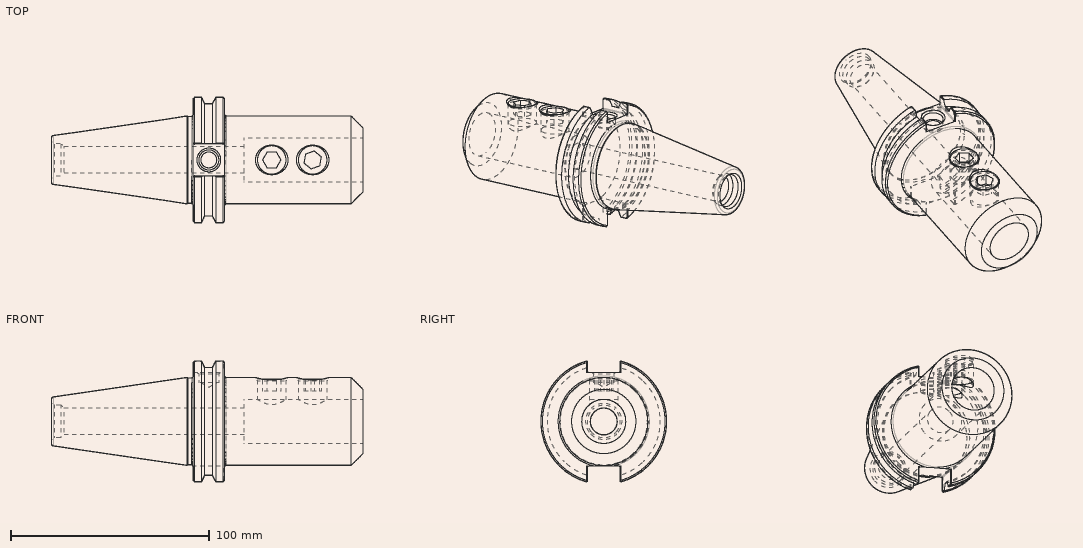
import cadquery as cq
import math

TOTAL_LENGTH = 157.15

GAUGE_DIAMETER = 44.45
TAPER_LENGTH = 68.25
TAPER_RATIO = 7 / 24
TAIL_FILLET = 1.2
NECK_LENGTH = 3.18
NECK_DIAMETER = 43.94
NECK_STEP_LENGTH = 0.5

FLANGE_DIAMETER = 63.5
FLANGE_WIDTH = 15.88
FLANGE_START = TAPER_LENGTH + NECK_LENGTH
FLANGE_END = FLANGE_START + FLANGE_WIDTH
FLANGE_MIDDLE = (FLANGE_START + FLANGE_END) / 2
FLANGE_CHAMFER = 0.8
FLANGE_ROOT_FILLET = 0.8
GROOVE_FLOOR_DIAMETER = 56.9
GROOVE_FLOOR_START = FLANGE_START + 5.8
GROOVE_FLOOR_WIDTH = 3.9
GROOVE_FLOOR_END = GROOVE_FLOOR_START + GROOVE_FLOOR_WIDTH
GROOVE_START = GROOVE_FLOOR_START - 1.55
GROOVE_END = GROOVE_FLOOR_END + 1.8

NOSE_DIAMETER = 44.45
NOSE_CHAMFER = 6.0

TAIL_BORE_DIAMETER = 16.46
TAIL_BORE_DEPTH = 4.9
TAIL_BORE_CHAMFER = 0.9
TAIL_BORE_CHAMFER_LENGTH = 1.6
THROUGH_BORE_DIAMETER = 13.39
TOOL_BORE_DIAMETER = 22.23
TOOL_BORE_DEPTH = 60.0

SLOT_WIDTH = 16.38
TOP_SLOT_FLOOR = 24.8
BOTTOM_SLOT_FLOOR = 22.5
SLOT_EDGE_CHAMFER = 0.41
SLOT_CORNER_FILLET = 0.4

SLOT_HOLE_DIAMETER = 10.13
SLOT_HOLE_MOUTH_DIAMETER = 12.0
SLOT_HOLE_DEPTH = 5.2
SLOT_HOLE_TIP_DIAMETER = 8.0
DRILL_POINT_ANGLE = 118

SCREW_DIAMETER = 14.35
SCREW_POSITIONS = (TOTAL_LENGTH - 46.04, TOTAL_LENGTH - 25.4)
SCREW_TURNS = (0, 20)
SCREW_TOP = 21.4
SCREW_MOUTH_DIAMETER = 16.46
SCREW_MOUTH_ANGLE = 60
HEX_ACROSS_FLATS = 8.0
HEX_DEPTH = 6.0


def cone_length(radius_change, full_angle):
    """Axial length over which a cone of the given full angle changes its radius."""
    return radius_change / math.tan(math.radians(full_angle / 2))


def revolve_about_x(profile):
    return profile.close().revolve(360, (0, 0, 0), (1, 0, 0))


def revolve_about_z(profile):
    return profile.close().revolve(360, (0, 0, 0), (0, 1, 0))


def make_blank():
    """Taper, neck, grooved flange and nose as one turned body."""
    gauge_radius = GAUGE_DIAMETER / 2
    tail_radius = gauge_radius - TAPER_LENGTH * TAPER_RATIO / 2
    neck_radius = NECK_DIAMETER / 2
    flange_radius = FLANGE_DIAMETER / 2
    floor_radius = GROOVE_FLOOR_DIAMETER / 2
    nose_radius = NOSE_DIAMETER / 2
    profile = (
        cq.Workplane("XZ")
        .moveTo(0, 0)
        .lineTo(0, tail_radius)
        .lineTo(TAPER_LENGTH, gauge_radius)
        .lineTo(TAPER_LENGTH + NECK_STEP_LENGTH, neck_radius)
        .lineTo(FLANGE_START - FLANGE_ROOT_FILLET, neck_radius)
        .radiusArc((FLANGE_START, neck_radius + FLANGE_ROOT_FILLET), -FLANGE_ROOT_FILLET)
        .lineTo(FLANGE_START, flange_radius - FLANGE_CHAMFER)
        .lineTo(FLANGE_START + FLANGE_CHAMFER, flange_radius)
        .lineTo(GROOVE_START, flange_radius)
        .lineTo(GROOVE_FLOOR_START, floor_radius)
        .lineTo(GROOVE_FLOOR_END, floor_radius)
        .lineTo(GROOVE_END, flange_radius)
        .lineTo(FLANGE_END - FLANGE_CHAMFER, flange_radius)
        .lineTo(FLANGE_END, flange_radius - FLANGE_CHAMFER)
        .lineTo(FLANGE_END, nose_radius + FLANGE_ROOT_FILLET)
        .radiusArc((FLANGE_END + FLANGE_ROOT_FILLET, nose_radius), -FLANGE_ROOT_FILLET)
        .lineTo(TOTAL_LENGTH - NOSE_CHAMFER, nose_radius)
        .lineTo(TOTAL_LENGTH, nose_radius - NOSE_CHAMFER)
        .lineTo(TOTAL_LENGTH, 0)
    )
    return revolve_about_x(profile).faces("<X").edges().fillet(TAIL_FILLET)


def make_axial_bores():
    """Chamfered tail bore, through bore and tool bore as one cutting body."""
    through_radius = THROUGH_BORE_DIAMETER / 2
    tail_radius = TAIL_BORE_DIAMETER / 2
    tool_radius = TOOL_BORE_DIAMETER / 2
    tool_bore_start = TOTAL_LENGTH - TOOL_BORE_DEPTH
    profile = (
        cq.Workplane("XZ")
        .moveTo(0, 0)
        .lineTo(0, tail_radius + TAIL_BORE_CHAMFER)
        .lineTo(TAIL_BORE_CHAMFER_LENGTH, tail_radius)
        .lineTo(TAIL_BORE_DEPTH, tail_radius)
        .lineTo(TAIL_BORE_DEPTH + tail_radius - through_radius, through_radius)
        .lineTo(tool_bore_start, through_radius)
        .lineTo(tool_bore_start, tool_radius)
        .lineTo(TOTAL_LENGTH, tool_radius)
        .lineTo(TOTAL_LENGTH, 0)
    )
    return revolve_about_x(profile)


def make_slot(floor, side):
    """Cutting body of a drive slot; it also clears the fillets at the flange root."""
    length = FLANGE_WIDTH + 2 * FLANGE_ROOT_FILLET
    height = FLANGE_DIAMETER
    block = cq.Workplane("XY").box(length, SLOT_WIDTH, height)
    return block.translate((FLANGE_MIDDLE, 0, side * (floor + height / 2)))


def is_floor_corner(edge):
    """True for a slot wall edge that runs along a slot floor."""
    height = edge.Center().z
    return min(abs(height - TOP_SLOT_FLOOR), abs(height + BOTTOM_SLOT_FLOOR)) < SLOT_EDGE_CHAMFER / 2


def is_in_groove(edge):
    """True for a slot wall edge that follows the V-groove."""
    return GROOVE_START < edge.Center().x < GROOVE_END


def break_slot_edges(holder):
    """Chamfers the slot walls outside the groove, then fillets the corners along the floors."""
    wall_edges = holder.faces("|Y").edges().vals()
    outer_edges = [edge for edge in wall_edges if not is_floor_corner(edge) and not is_in_groove(edge)]
    holder = holder.newObject(outer_edges).chamfer(SLOT_EDGE_CHAMFER)
    corners = [edge for edge in holder.faces("|Y").edges("|X").vals() if is_floor_corner(edge)]
    return holder.newObject(corners).fillet(SLOT_CORNER_FILLET)


def make_slot_hole():
    """Countersunk blind hole with a drill point."""
    mouth_radius = SLOT_HOLE_MOUTH_DIAMETER / 2
    hole_radius = SLOT_HOLE_DIAMETER / 2
    tip_radius = SLOT_HOLE_TIP_DIAMETER / 2
    bottom = TOP_SLOT_FLOOR - SLOT_HOLE_DEPTH
    profile = (
        cq.Workplane("XZ", origin=(FLANGE_MIDDLE, 0, 0))
        .moveTo(0, TOP_SLOT_FLOOR)
        .lineTo(mouth_radius, TOP_SLOT_FLOOR)
        .lineTo(hole_radius, TOP_SLOT_FLOOR - (mouth_radius - hole_radius))
        .lineTo(hole_radius, bottom)
        .lineTo(tip_radius, bottom)
        .lineTo(0, bottom - cone_length(tip_radius, DRILL_POINT_ANGLE))
    )
    return revolve_about_z(profile)


def make_screw_hole(position):
    """Countersunk hole from the nose surface down to the tool bore."""
    screw_radius = SCREW_DIAMETER / 2
    mouth_radius = SCREW_MOUTH_DIAMETER / 2
    mouth_top = NOSE_DIAMETER / 2
    mouth_bottom = mouth_top - cone_length(mouth_radius - screw_radius, SCREW_MOUTH_ANGLE)
    profile = (
        cq.Workplane("XZ", origin=(position, 0, 0))
        .moveTo(0, 0)
        .lineTo(screw_radius, 0)
        .lineTo(screw_radius, mouth_bottom)
        .lineTo(mouth_radius, mouth_top)
        .lineTo(0, mouth_top)
    )
    return revolve_about_z(profile)


def make_holder():
    holder = make_blank().cut(make_axial_bores())
    holder = holder.cut(make_slot(TOP_SLOT_FLOOR, 1))
    holder = holder.cut(make_slot(BOTTOM_SLOT_FLOOR, -1))
    holder = break_slot_edges(holder)
    holder = holder.cut(make_slot_hole())
    for position in SCREW_POSITIONS:
        holder = holder.cut(make_screw_hole(position))
    return holder


def make_set_screw(position, turn):
    """Hex socket set screw standing on the top of the tool bore."""
    bottom = TOOL_BORE_DIAMETER / 2
    corner_diameter = HEX_ACROSS_FLATS / math.cos(math.radians(30))
    body = (
        cq.Workplane("XY", origin=(0, 0, bottom))
        .circle(SCREW_DIAMETER / 2)
        .extrude(SCREW_TOP - bottom)
    )
    socket = (
        cq.Workplane("XY", origin=(0, 0, SCREW_TOP - HEX_DEPTH))
        .polygon(6, corner_diameter)
        .extrude(HEX_DEPTH)
        .rotate((0, 0, 0), (0, 0, 1), turn)
    )
    return body.cut(socket).translate((position, 0, 0))


holder = make_holder()
set_screws = [
    make_set_screw(position, turn)
    for position, turn in zip(SCREW_POSITIONS, SCREW_TURNS)
]
result = cq.Compound.makeCompound([holder.val(), *[screw.val() for screw in set_screws]])